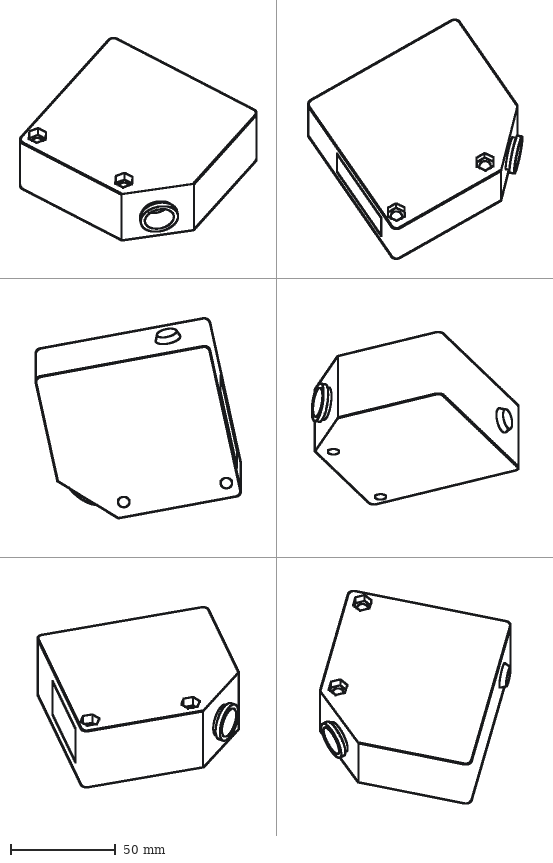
import cadquery as cq
import math

length = 85.0
width = 80.0
height = 34.0
corner_radius = 3.0
rim_chamfer = 0.3
corner_cut = 25.0

hole_xs = (6.0, 56.0)
hole_y = 8.0
hole_diameter = 5.4
nut_across_flats = 8.0
nut_depth = 5.0

neck_diameter = 15.6
neck_length = 2.0
flange_diameter = 18.2
flange_thickness = 2.3
bore_diameter = 14.0
bore_depth = 10.0

knob_x = 20.0
knob_base_diameter = 12.0
knob_tip_diameter = 9.6
knob_length = 3.0

window_start_y = 12.0
window_width = 39.95
window_height = 20.0
window_depth = 0.1

mid_height = height / 2


def make_housing():
    block = cq.Workplane("XY").box(length, width, height, centered=False)
    block = block.edges("|Z").fillet(corner_radius)
    block = block.faces("<Z or >Z").edges().chamfer(rim_chamfer)
    corner = (
        cq.Workplane("XY")
        .moveTo(length - corner_cut, 0)
        .lineTo(length, 0)
        .lineTo(length, corner_cut)
        .close()
        .extrude(height)
    )
    return block.cut(corner)


def cut_mounting_holes(body):
    centers = [(x, hole_y) for x in hole_xs]
    nut_across_corners = nut_across_flats / math.cos(math.pi / 6)
    holes = cq.Workplane("XY").pushPoints(centers).circle(hole_diameter / 2).extrude(height)
    pockets = (
        cq.Workplane("XY", origin=(0, 0, height - nut_depth))
        .pushPoints(centers)
        .polygon(6, nut_across_corners)
        .extrude(nut_depth)
    )
    return body.cut(holes).cut(pockets)


def add_cable_gland(body):
    seat = cq.Plane(
        origin=(length - corner_cut / 2, corner_cut / 2, mid_height),
        xDir=(0, 0, 1),
        normal=(1, -1, 0),
    )
    gland_length = neck_length + flange_thickness
    neck = cq.Workplane(seat).circle(neck_diameter / 2).extrude(gland_length)
    flange = (
        cq.Workplane(seat)
        .workplane(offset=neck_length)
        .circle(flange_diameter / 2)
        .extrude(flange_thickness)
    )
    bore = (
        cq.Workplane(seat)
        .workplane(offset=gland_length)
        .circle(bore_diameter / 2)
        .extrude(-bore_depth)
    )
    return body.union(neck).union(flange).cut(bore)


def add_knob(body):
    knob = cq.Solid.makeCone(
        knob_base_diameter / 2,
        knob_tip_diameter / 2,
        knob_length,
        pnt=cq.Vector(knob_x, width, mid_height),
        dir=cq.Vector(0, 1, 0),
    )
    return body.union(cq.Workplane(knob))


def cut_window(body):
    window = cq.Workplane("XY").box(window_depth, window_width, window_height, centered=(False, False, True))
    return body.cut(window.translate((0, window_start_y, mid_height)))


result = make_housing()
result = cut_mounting_holes(result)
result = add_cable_gland(result)
result = add_knob(result)
result = cut_window(result)